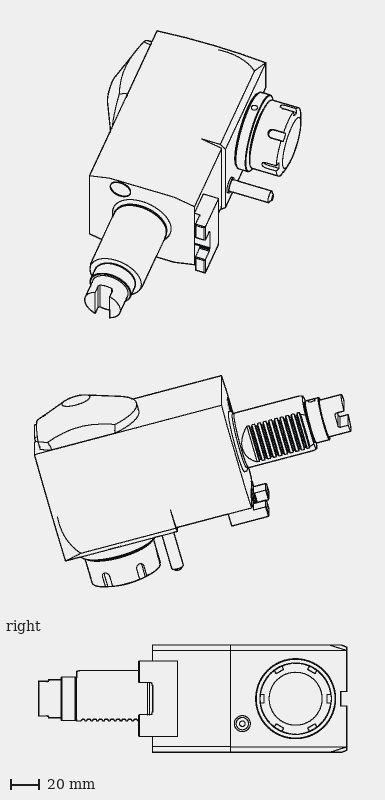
import cadquery as cq
import math


body_length = 135.7
half_height = 75.0 / 2
left_x = -39.1
foot_right_x = 39.1
head_right_x = 42.0
head_start_y = 54.6
bevel_start_x = 24.0
bevel_slope = math.tan(math.radians(15))
side_half_height = half_height - bevel_slope * (-left_x - bevel_start_x)
head_chamfer = 3.9
slot_width = 9.9
slot_depth = 4.0

crown_start_y = 123.5
crown_peak_x = 13
crown_peak_y = 132.2
crown_flank_x = -8.2
crown_flank_y = 128.8
crown_rear_drop = 1.7

plug_x = -16.1
plug_z = 28
plug_radius = 7.5
plug_depth = 0.6

spindle_y = 100.0
cover_radius = 40.2
cover_cone_start_x = -45.0
cover_tip_x = -59.1
cover_tip_radius = 10.0
cover_rear_gap = 4.3
cover_taper_start_x = -41.0
cover_half_height = 33.0
ring_start_x = 42.8
ring_end_x = 50.5
ring_radius = 28
ring_chamfer = 0.5
ring_seat_radius = 26.9
neck_radius = 20.2
nut_start_x = 52.0
nut_cone_start_x = 72.0
nut_end_x = 74.4
nut_radius = 25.0
nut_face_radius = 18.5
nut_chamfer = 0.5
nut_slot_count = 6
nut_slot_width = 6.0
nut_slot_start_x = 61.5
nut_slot_floor_radius = 22.0

ring_screw_radius = 2.2
shank_screw_radius = 2.5
shank_screw_floor_radius = 1.5
shank_screw_y = -58.5
screw_depth = 2.2

pin_y = 62.8
pin_z = -17.5
pin_radius = 4.3
pin_tip_radius = 2.0
pin_tip_length = 2.0
pin_end_x = 74.0
pin_collar_radius = 5.5
pin_collar_end_x = 43.2

clamp_left_x = 32.2
clamp_right_x = 50.5
clamp_front_y = 0.5
clamp_back_y = 17.6
clamp_half_width = 26.5
pad_front_y = -0.5
pad_inner_z = 9.2
jaw_left_x = 43.2
jaw_length = 9.7
jaw_root_z = 9.7
jaw_inner_z = 11.2
jaw_root_chamfer = 1.0
jaw_edge_chamfer = 0.6

flange_radius = 21.7
flange_length = 2.2
flange_rounding = 1.3
relief_radius = 19.4
relief_end_y = -3.5
shank_radius = 19.8
shank_end_y = -52.9
shank_cone_start_y = -50.3
shank_end_radius = 19.1
undercut_radius = 14.6
collar_start_y = -53.5
collar_end_y = -63.6
collar_radius = 15.3
collar_chamfer = 0.5
tip_radius = 13.3
tip_end_y = body_length - 215
tip_slot_width = 10.8
tip_slot_depth = 6.9
tip_slot_floor_chamfer = 1.0

rack_flat_z = -15.7
rack_root_z = -14.5
rack_pitch = 4.0
rack_tooth_count = 9
rack_first_tooth_y = -13.8
rack_start_y = -11.2
rack_end_y = -49.9
rack_end_ramp = 0.9
tooth_crest_width = 0.9
tooth_root_width = 2.2
runout_y = -4.3

clearance = 10.8


def revolve_about_spindle(points):
    """Solid of revolution about the spindle axis from (x, radius) points."""
    profile = cq.Workplane("XY").polyline([(x, spindle_y + radius) for x, radius in points]).close()
    return profile.revolve(360, (0, spindle_y, 0), (1, spindle_y, 0))


def make_prism(points, start_y, end_y):
    """Prism along Y with the upper half outline given from left to right, mirrored in Z."""
    outline = points + [(x, -z) for x, z in reversed(points)]
    prism = cq.Workplane("XZ", origin=(0, end_y, 0)).polyline(outline).close()
    return prism.extrude(end_y - start_y)


def make_crown_cutter():
    """Corner piece above the curved face at the rear end of the upper face."""
    top_left = cq.Vector(-bevel_start_x, crown_start_y, half_height)
    top_right = cq.Vector(head_right_x - head_chamfer, crown_start_y, half_height)
    peak = cq.Vector(crown_peak_x, crown_peak_y, half_height)
    flank = cq.Vector(crown_flank_x, crown_flank_y, half_height)
    rear_left = cq.Vector(left_x, body_length, side_half_height)
    rear_right = cq.Vector(head_right_x, body_length, half_height - head_chamfer)
    rear_peak = cq.Vector(crown_peak_x, body_length, half_height - crown_rear_drop)
    corner_left = cq.Vector(top_left.x, body_length, half_height)
    corner_right = cq.Vector(top_right.x, body_length, half_height)

    top_curve = cq.Edge.makeSpline([top_left, flank, peak, top_right])
    rear_curve = cq.Edge.makeSpline([rear_left, rear_peak, rear_right])

    def line(start, end):
        return cq.Edge.makeLine(start, end)

    def flat_face(edges):
        return cq.Face.makeFromWires(cq.Wire.assembleEdges(edges))

    faces = [
        cq.Face.makeRuledSurface(top_curve, rear_curve),
        flat_face([top_curve, line(top_right, corner_right), line(corner_right, corner_left),
                   line(corner_left, top_left)]),
        flat_face([rear_curve, line(rear_right, corner_right), line(corner_right, corner_left),
                   line(corner_left, rear_left)]),
        flat_face([line(top_left, rear_left), line(rear_left, corner_left), line(corner_left, top_left)]),
        flat_face([line(top_right, rear_right), line(rear_right, corner_right),
                   line(corner_right, top_right)]),
    ]
    return cq.Workplane(cq.Solid.makeSolid(cq.Shell.makeShell(faces)))


def make_housing():
    left_half = [(left_x, side_half_height), (-bevel_start_x, half_height)]
    foot = make_prism(
        left_half + [(bevel_start_x, half_height), (foot_right_x, side_half_height)], 0, head_start_y
    )
    head = make_prism(
        left_half + [(head_right_x - head_chamfer, half_height), (head_right_x, half_height - head_chamfer)],
        head_start_y, body_length,
    )
    crown = make_crown_cutter()
    head = head.cut(crown).cut(crown.mirror("XY"))
    slot_span = head_right_x - left_x
    slot = cq.Workplane("XY").box(slot_span, 2 * slot_depth, slot_width).translate(
        (left_x + slot_span / 2, body_length, 0)
    )
    plug = cq.Workplane("XZ").center(plug_x, plug_z).circle(plug_radius).extrude(-plug_depth)
    return foot.union(head).cut(slot).cut(plug)


def make_cover():
    """Conical cover, flattened above, below and towards the rear."""
    cone = revolve_about_spindle([
        (left_x, 0), (left_x, cover_radius), (cover_cone_start_x, cover_radius),
        (cover_tip_x, cover_tip_radius), (cover_tip_x, 0),
    ])
    tip_half_height = cover_half_height - bevel_slope * (cover_taper_start_x - cover_tip_x)
    envelope = make_prism(
        [(cover_tip_x, tip_half_height), (cover_taper_start_x, cover_half_height),
         (left_x, cover_half_height)],
        spindle_y - cover_radius - clearance, body_length - cover_rear_gap,
    )
    return cone.intersect(envelope)


def make_spindle_nose():
    nose = revolve_about_spindle([
        (0, 0), (0, ring_seat_radius), (ring_start_x, ring_seat_radius),
        (ring_start_x, ring_radius - ring_chamfer), (ring_start_x + ring_chamfer, ring_radius),
        (ring_end_x - ring_chamfer, ring_radius), (ring_end_x, ring_radius - ring_chamfer),
        (ring_end_x, neck_radius), (nut_start_x, neck_radius),
        (nut_start_x, nut_radius - nut_chamfer), (nut_start_x + nut_chamfer, nut_radius),
        (nut_cone_start_x, nut_radius), (nut_end_x, nut_face_radius), (nut_end_x, 0),
    ])
    slot_length = nut_end_x + clearance - nut_slot_start_x
    slot = (
        cq.Workplane("XY", origin=(nut_slot_start_x, spindle_y, nut_slot_floor_radius))
        .moveTo(slot_length, -nut_slot_width / 2)
        .lineTo(nut_slot_width / 2, -nut_slot_width / 2)
        .threePointArc((0, 0), (nut_slot_width / 2, nut_slot_width / 2))
        .lineTo(slot_length, nut_slot_width / 2)
        .close()
        .extrude(clearance)
    )
    for index in range(nut_slot_count):
        angle = 90 + index * 360 / nut_slot_count
        nose = nose.cut(slot.rotate((0, spindle_y, 0), (1, spindle_y, 0), angle))
    screw = cq.Solid.makeCone(
        0, ring_screw_radius, screw_depth,
        cq.Vector((ring_start_x + ring_end_x) / 2, spindle_y, ring_radius - screw_depth),
    )
    return nose.cut(cq.Workplane(screw))


def make_pin():
    profile = [
        (0, 0), (0, pin_collar_radius), (pin_collar_end_x, pin_collar_radius),
        (pin_collar_end_x, pin_radius), (pin_end_x - pin_tip_length, pin_radius),
        (pin_end_x, pin_tip_radius), (pin_end_x, 0),
    ]
    pin = cq.Workplane("XY").polyline(profile).close().revolve(360, (0, 0, 0), (1, 0, 0))
    return pin.translate((0, pin_y, pin_z))


def make_clamp():
    """Block on the housing's right side with two jaws reaching past the front face."""
    block = cq.Workplane("XY").box(
        clamp_right_x - clamp_left_x, clamp_back_y - clamp_front_y, 2 * clamp_half_width,
        centered=(False, False, True),
    ).translate((clamp_left_x, clamp_front_y, 0))
    pad = cq.Workplane("XY").box(
        clamp_right_x - foot_right_x, clamp_back_y - pad_front_y, clamp_half_width - pad_inner_z,
        centered=False,
    ).translate((foot_right_x, pad_front_y, pad_inner_z))
    jaw_outline = [
        (clamp_front_y, jaw_root_z), (-jaw_root_chamfer, jaw_inner_z),
        (-jaw_length, jaw_inner_z), (-jaw_length, clamp_half_width), (clamp_front_y, clamp_half_width),
    ]
    jaw = cq.Workplane("YZ", origin=(jaw_left_x, 0, 0)).polyline(jaw_outline).close()
    jaw = jaw.extrude(clamp_right_x - jaw_left_x).faces("<Y").chamfer(jaw_edge_chamfer)
    prong = pad.union(jaw)
    return block.union(prong).union(prong.mirror("XY"))


def make_shank():
    profile = [
        (0, 0), (relief_radius, 0), (relief_radius, relief_end_y),
        (shank_radius, relief_end_y), (shank_radius, shank_cone_start_y), (shank_end_radius, shank_end_y),
        (undercut_radius, shank_end_y), (undercut_radius, collar_start_y),
        (collar_radius - collar_chamfer, collar_start_y),
        (collar_radius, collar_start_y - collar_chamfer), (collar_radius, collar_end_y + collar_chamfer),
        (collar_radius - collar_chamfer, collar_end_y), (tip_radius, collar_end_y),
        (tip_radius, tip_end_y), (0, tip_end_y),
    ]
    shank = cq.Workplane("XY").polyline(profile).close().revolve(360, (0, 0, 0), (0, 1, 0))
    flange = cq.Workplane("XZ").circle(flange_radius).extrude(flange_length)
    flange = flange.faces("<Y").edges().fillet(flange_rounding)
    shank = shank.union(flange)
    tip_slot = cq.Workplane("XY").box(tip_slot_width, 2 * tip_slot_depth, 2 * tip_radius)
    tip_slot = tip_slot.edges("|Z").chamfer(tip_slot_floor_chamfer)
    tip_slot = tip_slot.translate((0, tip_end_y, 0))
    screw = cq.Solid.makeCone(
        shank_screw_radius, shank_screw_floor_radius, screw_depth,
        cq.Vector(-collar_radius, shank_screw_y, 0), cq.Vector(1, 0, 0),
    )
    return shank.cut(make_rack_cutter()).cut(tip_slot).cut(cq.Workplane(screw))


def make_rack_cutter():
    """Material removed below the shank to leave a flat with a row of teeth."""
    outline = [(runout_y, -shank_radius), (rack_start_y, rack_root_z)]
    for index in range(rack_tooth_count):
        tooth_y = rack_first_tooth_y - index * rack_pitch
        outline += [
            (tooth_y + tooth_root_width / 2, rack_root_z), (tooth_y + tooth_crest_width / 2, rack_flat_z),
            (tooth_y - tooth_crest_width / 2, rack_flat_z), (tooth_y - tooth_root_width / 2, rack_root_z),
        ]
    outline += [
        (rack_end_y + rack_end_ramp, rack_root_z),
        (rack_end_y, rack_flat_z), (shank_end_y, rack_flat_z),
        (shank_end_y, -shank_radius - clearance), (runout_y, -shank_radius - clearance),
    ]
    return cq.Workplane("YZ").polyline(outline).close().extrude(shank_radius, both=True)


result = make_housing()
for feature in (make_cover(), make_spindle_nose(), make_pin(), make_clamp(), make_shank()):
    result = result.union(feature)